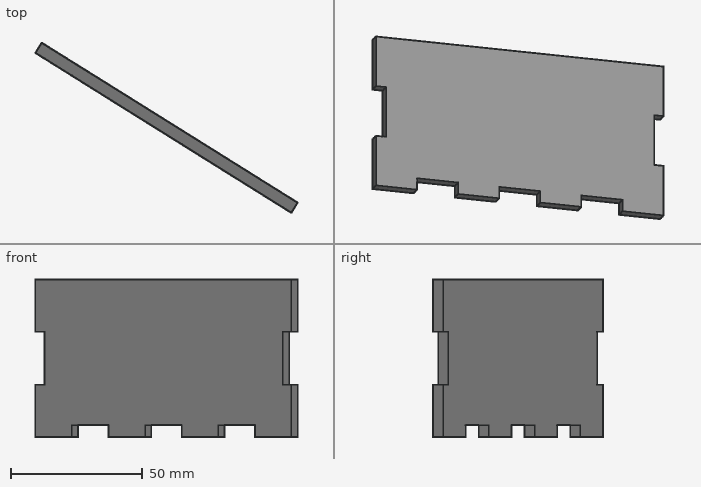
import cadquery as cq

length = 114.92
height = 60.0
thickness = 4.6
turn_angle = -32.0

bottom_segments = 7
end_segments = 3
bottom_pitch = length / bottom_segments
end_pitch = height / end_segments

bottom_notch_depth = thickness
left_notch_depth = 4.05
right_notch_depth = 3.75


def panel_blank():
    """Plain upright panel centred on the origin."""
    return cq.Workplane("XY").box(length, thickness, height)


def cut_notch(panel, width, notch_height, x_mid, z_mid):
    """Cut a rectangular notch, width along X and height along Z, through the thickness."""
    notch = cq.Workplane("XY").box(width, thickness, notch_height)
    return panel.cut(notch.translate((x_mid, 0, z_mid)))


def cut_bottom_notches(panel):
    """Remove every second segment of the bottom edge, leaving a finger at both corners."""
    z_mid = (bottom_notch_depth - height) / 2
    for segment in range(1, bottom_segments, 2):
        x_mid = -length / 2 + (segment + 0.5) * bottom_pitch
        panel = cut_notch(panel, bottom_pitch, bottom_notch_depth, x_mid, z_mid)
    return panel


def cut_end_notches(panel):
    """Remove the middle third of each upright end."""
    for side, depth in ((-1, left_notch_depth), (1, right_notch_depth)):
        x_mid = side * (length - depth) / 2
        panel = cut_notch(panel, depth, end_pitch, x_mid, 0)
    return panel


panel = panel_blank()
panel = cut_bottom_notches(panel)
panel = cut_end_notches(panel)

result = panel.rotate((0, 0, 0), (0, 0, 1), turn_angle)